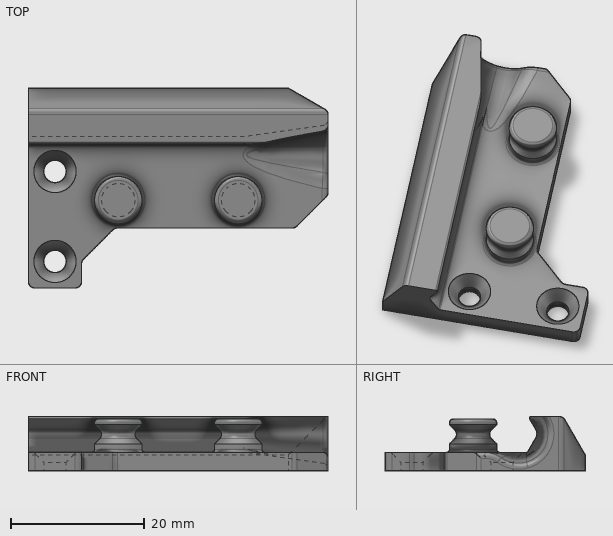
import cadquery as cq
import math

length = 45.0
width = 30.0
height = 8.2
plate_top = 2.8

margin = 0.05

tab_width = 8.0
front_edge = 9.0
tab_side_length = 4.05
front_chamfer = 5.0
back_chamfer_length = 6.0
back_chamfer_width = back_chamfer_length * math.tan(math.radians(30))
corner_radius = 1.0

rail_slope = math.tan(math.radians(60))
back_wall_height = 2.4
groove_height = 5.6
groove_y = 22.95
groove_radius = 1.35
lip_radius = 0.25
crest_radius = 1.1
foot_radius = 0.22

channel_y = 20.0
channel_end_radius = 4.55
channel_taper = math.tan(math.radians(8))
channel_length = 18.0
runout_back_y = 21.2
channel_edge_radius = 4.0
end_radius = 0.9

hole_x = 4.0
hole_places = [(hole_x, 4.0), (hole_x, 17.5)]
hole_diameter = 3.35
countersink_diameter = 6.35
countersink_angle = 90

knob_places = [(13.5, 13.2), (31.5, 13.2)]
knob_radius = 3.55
knob_top = 7.8
knob_rim_radius = 0.6
knob_foot_radius = 0.45
waist_height = 5.5
flare_height = 1.45
waist_arc_radius = 0.95


def rail_and_plate():
    """Side section carried along X over the full length."""
    crest_y = width - (height - back_wall_height) / rail_slope
    lip_y = groove_y - (height - groove_height) / rail_slope
    foot_y = groove_y - (groove_height - plate_top) / rail_slope
    section = (
        cq.Workplane("YZ")
        .polyline([
            (0, 0), (width, 0), (width, back_wall_height), (crest_y, height),
            (lip_y, height), (groove_y, groove_height), (foot_y, plate_top), (0, plate_top),
        ])
        .close()
        .extrude(length)
    )
    rounded_edges = [
        (crest_y, height, crest_radius),
        (lip_y, height, lip_radius),
        (groove_y, groove_height, groove_radius),
        (foot_y, plate_top, foot_radius),
    ]
    for y, z, radius in rounded_edges:
        section = section.edges(cq.NearestToPointSelector((length / 2, y, z))).fillet(radius)
    return section


def plan_outline():
    """Prism over the plan shape, with its corners rounded except at the back edge."""
    diagonal_end_x = tab_width + front_edge - tab_side_length
    outline = (
        cq.Workplane("XY")
        .polyline([
            (0, 0), (tab_width, 0), (tab_width, tab_side_length), (diagonal_end_x, front_edge),
            (length - front_chamfer, front_edge), (length, front_edge + front_chamfer),
            (length, width - back_chamfer_width), (length - back_chamfer_length, width), (0, width),
        ])
        .close()
        .extrude(height)
    )
    sharp_back_corners = cq.selectors.BoxSelector(
        (-margin, width - margin, -margin), (length, width + margin, height + margin)
    )
    rounded_corners = outline.edges("|Z").edges(cq.selectors.InverseSelector(sharp_back_corners))
    return rounded_corners.fillet(corner_radius)


def channel():
    """Cone lying along X, widest at the right end."""
    small_radius = channel_end_radius - channel_length * channel_taper
    return cq.Workplane(cq.Solid.makeCone(
        channel_end_radius, small_radius, channel_length,
        pnt=cq.Vector(length, channel_y, groove_height), dir=cq.Vector(-1, 0, 0),
    ))


def channel_runout():
    """Removed volume of the broad rounding where the channel meets the plate."""
    slab = (
        cq.Workplane("XY")
        .box(channel_length, 2 * channel_y, plate_top, centered=(False, True, False))
        .translate((length - channel_length, channel_y, 0))
    )
    rim = cq.selectors.BoxSelector(
        (length - channel_length + margin, channel_y - channel_end_radius, plate_top - margin),
        (length - margin, channel_y + channel_end_radius, plate_top + margin),
    )
    rounded_slab = slab.cut(channel()).edges(rim).fillet(channel_edge_radius)
    plate_side = (
        cq.Workplane("XY")
        .box(channel_length, runout_back_y, plate_top, centered=False)
        .translate((length - channel_length, 0, 0))
    )
    return plate_side.cut(rounded_slab)


def knob():
    """Knob revolved about Z, with a concave waist and a filleted foot."""
    diagonal = math.sin(math.radians(45))
    arc_half_height = waist_arc_radius * diagonal
    arc_edge_radius = knob_radius - (flare_height - arc_half_height)
    waist_radius = arc_edge_radius - waist_arc_radius * (1 - diagonal)
    foot_top = plate_top + knob_foot_radius
    return (
        cq.Workplane("XZ")
        .moveTo(0, plate_top / 2)
        .lineTo(knob_radius + knob_foot_radius, plate_top / 2)
        .lineTo(knob_radius + knob_foot_radius, plate_top)
        .radiusArc((knob_radius, foot_top), knob_foot_radius)
        .lineTo(knob_radius, waist_height - flare_height)
        .lineTo(arc_edge_radius, waist_height - arc_half_height)
        .threePointArc((waist_radius, waist_height), (arc_edge_radius, waist_height + arc_half_height))
        .lineTo(knob_radius, waist_height + flare_height)
        .lineTo(knob_radius, knob_top - knob_rim_radius)
        .radiusArc((knob_radius - knob_rim_radius, knob_top), -knob_rim_radius)
        .lineTo(0, knob_top)
        .close()
        .revolve(360, (0, 0, 0), (0, 1, 0))
    )


body = rail_and_plate().cut(channel()).cut(channel_runout())

end_edges = cq.selectors.BoxSelector(
    (length - margin, margin, margin),
    (length + margin, channel_y + channel_end_radius, height - margin),
)
body = body.edges(end_edges).fillet(end_radius)
body = body.intersect(plan_outline())

for place in knob_places:
    body = body.union(knob().translate((*place, 0)))

result = (
    cq.Workplane("XY", origin=(0, 0, plate_top))
    .add(body)
    .pushPoints(hole_places)
    .cskHole(hole_diameter, countersink_diameter, countersink_angle)
)